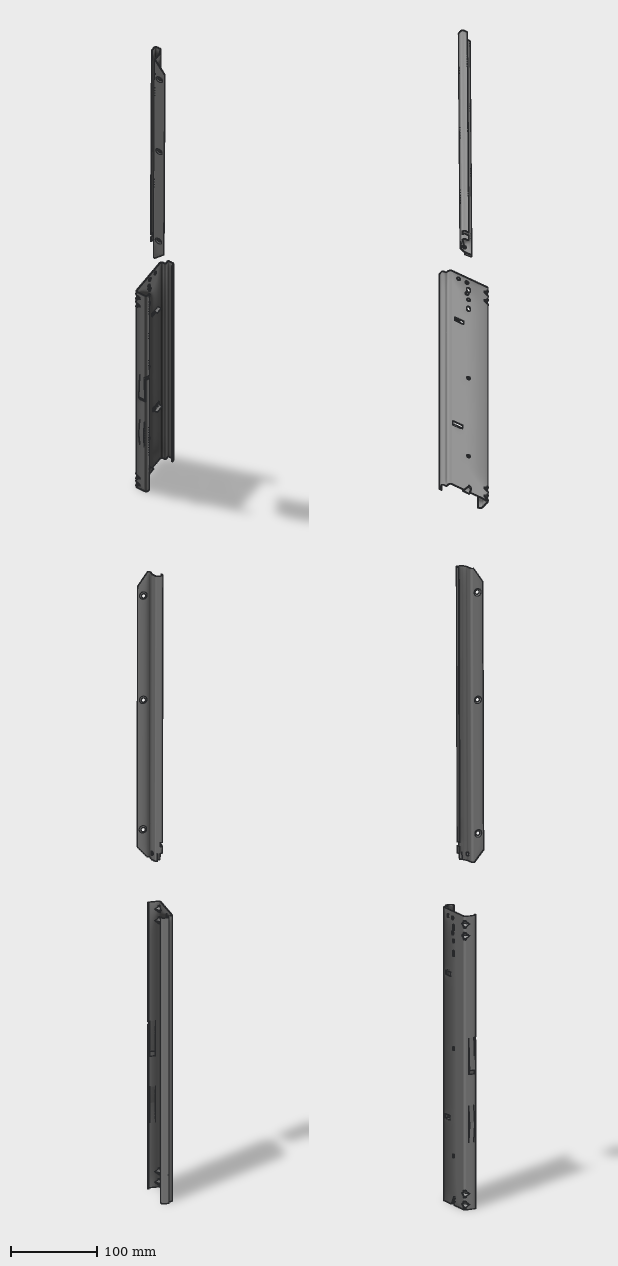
import cadquery as cq
import math

SHEET = 1.2
LENGTH = 350.0
TOP_Z = 759.99

CHANNEL_TOP_Y = 31.25
SHELF_Y = 25.8
JOGGLE_X = 6.2
FLANGE_Y = -29.2
LIP_START_X = 12.5
UPPER_LIP_RADIUS = 3.2
LOWER_LIP_RADIUS = 4.0
UPPER_LIP_END_Y = 26.3
LOWER_LIP_END_Y = -24.3
UPPER_WEB_BEND_RADIUS = 4.0
LOWER_WEB_BEND_RADIUS = 3.0
OUTER_BEND_RADIUS = 1.8

HOLE_DIAMETER = 4.6
HOLES = [(12.6, 342.0), (1.1, 342.0), (1.1, 324.0), (-1.1, 315.0), (-1.1, 186.5), (-1.1, 58.5)]
SLOT_LENGTH = 7.5
SLOTS = [(-1.1, 331.0), (-1.1, 300.0)]

TAB_REACH = 5.5
WINDOW_HEIGHT = 5.0
TAB_START_Y = 9.5
WINDOWS = [(5.5, 18.0, 271.0, True), (7.0, 20.5, 99.5, False)]

DENT_LEVELS = [340.5, 326.5, 19.0, 6.0]
DENT_DEPTH = 5.0
DENT_HALF_HEIGHT = 4.5

EMBOSS_OUTLINE = [(5.5, 0.0), (-2.3, 12.0), (-6.0, 8.5), (-4.0, 0.0)]
EMBOSS_RECESS = [(4.2, 0.0), (-2.3, 10.4), (-4.9, 8.0), (-3.0, 0.0)]
EMBOSS_DEPTH = 2.2

STOP_START_X = 6.0
LONG_STOP_END_X = LIP_START_X + 1.5
LONG_STOP_LEVELS = (161.0, 166.0, 168.0, 204.0)
SHORT_STOP_LEVELS = (80.0, 98.0, 103.0, 123.5)
STOP_RISE = CHANNEL_TOP_Y + FLANGE_Y
LIP_NOTCH_Z = 200.5
LIP_NOTCH_HEIGHT = 4.5

RAIL_DROP = 2.3
RAIL_TILT = -math.degrees(math.asin(RAIL_DROP / LENGTH))
RAIL_BASE_Y = -15.1
RAIL_HEIGHT = 19.7
RAIL_END_X = 31.5
HOOK_X = 5.6
HOOK_EDGE_X = 13.3
RAIL_WEB_X = 17.3
SLOPE_END = 12.0
LIP_TIP = 12.0
HOOK_BEND_RADIUS = 3.2
SLOPE_BEND_RADIUS = 2.5
FLANGE_BEND_RADIUS = 2.8
CORNER_CUT_X = 12.0
LOWER_CUT_Z = 13.5
UPPER_CUT_Z = 17.0

RAIL_HOLE_X = 24.4
RAIL_HOLE_DIAMETER = 5.0
RAIL_SINK_DIAMETER = 9.0
RAIL_HOLE_LEVELS = [34.0, 193.0, 321.0]

TONGUE_LENGTH = 8.0
TONGUE_FOOT_GAP = 1.2
TONGUE_DROP = 2.0
TONGUE_END_X = 12.5
HOOK_NOTCH_LEVEL = 17.5
HOOK_NOTCH_HEIGHT = 5.0
FOOT_HOLE_LEVEL = 7.8
FOOT_HOLE_HEIGHT = 11.4
FOOT_HOLE_DIAMETER = 4.8


def box(x0, x1, y0, y1, z0, z1):
    """Axis-aligned block between two corners."""
    return cq.Workplane("XY").box(x1 - x0, y1 - y0, z1 - z0, centered=False).translate((x0, y0, z0))


def plate_along_x(outline, x0, x1):
    """Prism between X = x0 and X = x1 with its outline given as (Y, Z) points."""
    return cq.Workplane("YZ").workplane(offset=x0).polyline(outline).close().extrude(x1 - x0)


def curled_lip(top_y, end_y, radius, inward):
    """Track lip curling from the flat track (outer face top_y) to end_y; inward is -1 or 1 in Y."""
    outer = radius
    inner = radius - SHEET
    center_y = top_y + inward * outer
    diagonal = math.sqrt(0.5)
    end_x = LIP_START_X + outer
    outer_middle = (LIP_START_X + outer * diagonal, center_y - inward * outer * diagonal)
    inner_middle = (LIP_START_X + inner * diagonal, center_y - inward * inner * diagonal)
    return (
        cq.Workplane("XY")
        .moveTo(LIP_START_X, top_y)
        .threePointArc(outer_middle, (end_x, center_y))
        .lineTo(end_x, end_y)
        .lineTo(end_x - SHEET, end_y)
        .lineTo(end_x - SHEET, center_y)
        .threePointArc(inner_middle, (LIP_START_X, top_y + inward * SHEET))
        .close()
        .extrude(LENGTH)
    )


def channel_section():
    """Web, joggled upper track and lower track, as one bent sheet."""
    body = (
        cq.Workplane("XY")
        .moveTo(0, FLANGE_Y)
        .lineTo(LIP_START_X, FLANGE_Y)
        .lineTo(LIP_START_X, FLANGE_Y + SHEET)
        .lineTo(SHEET, FLANGE_Y + SHEET)
        .lineTo(SHEET, SHELF_Y - SHEET)
        .lineTo(JOGGLE_X + SHEET, SHELF_Y - SHEET)
        .lineTo(JOGGLE_X + SHEET, CHANNEL_TOP_Y - SHEET)
        .lineTo(LIP_START_X, CHANNEL_TOP_Y - SHEET)
        .lineTo(LIP_START_X, CHANNEL_TOP_Y)
        .lineTo(JOGGLE_X, CHANNEL_TOP_Y)
        .lineTo(JOGGLE_X, SHELF_Y)
        .lineTo(0, SHELF_Y)
        .close()
        .extrude(LENGTH)
    )
    for x, y, radius in [
        (0, SHELF_Y, UPPER_WEB_BEND_RADIUS),
        (SHEET, SHELF_Y - SHEET, UPPER_WEB_BEND_RADIUS - SHEET),
        (0, FLANGE_Y, LOWER_WEB_BEND_RADIUS),
        (SHEET, FLANGE_Y + SHEET, LOWER_WEB_BEND_RADIUS - SHEET),
        (JOGGLE_X, CHANNEL_TOP_Y, OUTER_BEND_RADIUS),
        (JOGGLE_X + SHEET, CHANNEL_TOP_Y - SHEET, OUTER_BEND_RADIUS - SHEET),
        (JOGGLE_X + SHEET, SHELF_Y - SHEET, OUTER_BEND_RADIUS),
        (JOGGLE_X, SHELF_Y, OUTER_BEND_RADIUS - SHEET),
    ]:
        body = body.edges(cq.NearestToPointSelector((x, y, LENGTH / 2))).fillet(radius)
    upper_lip = curled_lip(CHANNEL_TOP_Y, UPPER_LIP_END_Y, UPPER_LIP_RADIUS, -1)
    lower_lip = curled_lip(FLANGE_Y, LOWER_LIP_END_Y, LOWER_LIP_RADIUS, 1)
    return body.union(upper_lip).union(lower_lip)


def web_holes():
    """Round holes and upright slots through the channel web."""
    plane = cq.Workplane("YZ")
    holes = plane.pushPoints(HOLES).circle(HOLE_DIAMETER / 2).extrude(SHEET)
    slots = plane.pushPoints(SLOTS).slot2D(SLOT_LENGTH, HOLE_DIAMETER, 90).extrude(SHEET)
    return holes.union(slots)


def add_lanced_tab(body, y_start, y_end, z_window, tab_above):
    """Open a window in the web and fold a tab inward along its upper or lower edge."""
    z_top = z_window + WINDOW_HEIGHT
    z_tab = z_top if tab_above else z_window - SHEET
    body = body.cut(box(0, SHEET, y_start, y_end, z_window, z_top))
    return body.union(box(0, TAB_REACH, TAB_START_Y, y_end, z_tab, z_tab + SHEET))


def corner_wedge(depth, half_height, z):
    """V prism lying across the lower bend, pointing inward along the corner bisector."""
    reach = 2 * depth
    plane = cq.Plane(origin=(0, FLANGE_Y, z), xDir=(1, 1, 0), normal=(1, -1, 0))
    return (
        cq.Workplane(plane)
        .polyline([(0, half_height), (depth, 0), (0, -half_height)])
        .close()
        .extrude(reach, both=True)
    )


def add_bend_dent(body, z):
    """Press a V-shaped dent into the lower bend, keeping the sheet thickness."""
    growth = (DENT_DEPTH + SHEET) / DENT_DEPTH
    inside = box(0, JOGGLE_X, FLANGE_Y, FLANGE_Y + JOGGLE_X, z - JOGGLE_X, z + JOGGLE_X)
    outside = corner_wedge(DENT_DEPTH, DENT_HALF_HEIGHT, z)
    shell = corner_wedge(DENT_DEPTH + SHEET, DENT_HALF_HEIGHT * growth, z)
    clearance = cq.Workplane("XY").workplane(offset=z - JOGGLE_X).center(0, FLANGE_Y)
    rounding = clearance.rect(2 * SHEET, 2 * SHEET).extrude(2 * JOGGLE_X)
    return body.union(shell.intersect(inside).cut(rounding)).cut(outside)


def add_track_stop(body, x_end, levels):
    """Raise a ramped stop out of the lower track, hollow behind."""
    z_foot, z_ridge_low, z_ridge_high, z_head = levels
    ridge_y = FLANGE_Y - STOP_RISE
    outline = [(FLANGE_Y, z_foot), (ridge_y, z_ridge_low), (ridge_y, z_ridge_high), (FLANGE_Y, z_head)]
    solid = plate_along_x(outline, STOP_START_X, x_end)
    return body.union(solid).cut(solid.translate((0, SHEET, 0)))


def add_foot_emboss(body):
    """Slanted inward emboss at the foot of the web."""
    body = body.union(plate_along_x(EMBOSS_OUTLINE, 0, EMBOSS_DEPTH + SHEET))
    return body.cut(plate_along_x(EMBOSS_RECESS, 0, EMBOSS_DEPTH))


def make_channel():
    body = channel_section().cut(web_holes())
    for window in WINDOWS:
        body = add_lanced_tab(body, *window)
    for z in DENT_LEVELS:
        body = add_bend_dent(body, z)
    body = add_track_stop(body, LONG_STOP_END_X, LONG_STOP_LEVELS)
    body = add_foot_emboss(body)
    body = add_track_stop(body, LIP_START_X, SHORT_STOP_LEVELS)
    lip_end = LIP_START_X + LOWER_LIP_RADIUS
    notch_z = (LIP_NOTCH_Z, LIP_NOTCH_Z + LIP_NOTCH_HEIGHT)
    notch = box(lip_end - LOWER_LIP_RADIUS / 2, lip_end, FLANGE_Y, 0, *notch_z)
    return body.cut(notch)


def rail_section():
    """Hook, sloping wall, web and flange; built upright with the flange underside at Y = 0."""
    profile = (
        cq.Workplane("XY")
        .moveTo(HOOK_X, LIP_TIP)
        .lineTo(HOOK_X, RAIL_HEIGHT)
        .lineTo(HOOK_EDGE_X + SHEET, RAIL_HEIGHT)
        .lineTo(RAIL_WEB_X, SLOPE_END)
        .lineTo(RAIL_WEB_X, SHEET)
        .lineTo(RAIL_END_X, SHEET)
        .lineTo(RAIL_END_X, 0)
        .lineTo(RAIL_WEB_X - SHEET, 0)
        .lineTo(RAIL_WEB_X - SHEET, SLOPE_END)
        .lineTo(HOOK_EDGE_X, RAIL_HEIGHT - SHEET)
        .lineTo(HOOK_X + SHEET, RAIL_HEIGHT - SHEET)
        .lineTo(HOOK_X + SHEET, LIP_TIP)
        .close()
        .extrude(LENGTH)
    )
    for x, y, radius in [
        (HOOK_X, RAIL_HEIGHT, HOOK_BEND_RADIUS),
        (HOOK_X + SHEET, RAIL_HEIGHT - SHEET, HOOK_BEND_RADIUS - SHEET),
        (HOOK_EDGE_X + SHEET, RAIL_HEIGHT, SLOPE_BEND_RADIUS),
        (HOOK_EDGE_X, RAIL_HEIGHT - SHEET, SLOPE_BEND_RADIUS - SHEET),
        (RAIL_WEB_X, SLOPE_END, SLOPE_BEND_RADIUS),
        (RAIL_WEB_X - SHEET, SLOPE_END, SLOPE_BEND_RADIUS - SHEET),
        (RAIL_WEB_X - SHEET, 0, FLANGE_BEND_RADIUS),
        (RAIL_WEB_X, SHEET, FLANGE_BEND_RADIUS - SHEET),
    ]:
        profile = profile.edges(cq.NearestToPointSelector((x, y, LENGTH / 2))).fillet(radius)
    return profile


def flange_corner(z_end, z_inner):
    """Triangle that bevels one free corner of the flange."""
    outline = [(RAIL_END_X - CORNER_CUT_X, z_end), (RAIL_END_X, z_end), (RAIL_END_X, z_inner)]
    return cq.Workplane("XZ").polyline(outline).close().extrude(-SHEET)


def flange_hole(z):
    """Countersunk hole, wide on the underside."""
    return (
        cq.Workplane("XZ", origin=(RAIL_HOLE_X, 0, z))
        .circle(RAIL_SINK_DIAMETER / 2)
        .workplane(offset=-SHEET)
        .circle(RAIL_HOLE_DIAMETER / 2)
        .loft(ruled=True)
    )


def add_foot_stop(body):
    """Shorten the hook at its foot and bend a stop tongue down from it."""
    top = RAIL_HEIGHT
    z_root = TONGUE_LENGTH + TONGUE_FOOT_GAP
    body = body.cut(box(0, TONGUE_END_X, 0, top, 0, z_root))
    outline = [
        (top, z_root),
        (top - TONGUE_DROP, TONGUE_FOOT_GAP),
        (top - TONGUE_DROP - SHEET, TONGUE_FOOT_GAP),
        (top - SHEET, z_root),
    ]
    return body.union(plate_along_x(outline, HOOK_X + HOOK_BEND_RADIUS, TONGUE_END_X))


def make_rail():
    body = rail_section()
    body = body.cut(flange_corner(0, LOWER_CUT_Z)).cut(flange_corner(LENGTH, LENGTH - UPPER_CUT_Z))
    for z in RAIL_HOLE_LEVELS:
        body = body.cut(flange_hole(z))
    body = add_foot_stop(body)
    notch_end_x = HOOK_X + HOOK_BEND_RADIUS
    notch_top = HOOK_NOTCH_LEVEL + HOOK_NOTCH_HEIGHT
    body = body.cut(box(0, notch_end_x, 0, RAIL_HEIGHT, HOOK_NOTCH_LEVEL, notch_top))
    foot_hole = cq.Workplane("YZ").center(FOOT_HOLE_HEIGHT, FOOT_HOLE_LEVEL).circle(FOOT_HOLE_DIAMETER / 2)
    body = body.cut(foot_hole.extrude(RAIL_END_X))
    body = body.translate((0, 0, -LENGTH)).rotate((0, 0, 0), (1, 0, 0), RAIL_TILT)
    return body.translate((0, RAIL_BASE_Y, TOP_Z))


channel = make_channel()
rail = make_rail()
result = cq.Compound.makeCompound([channel.val(), rail.val()])